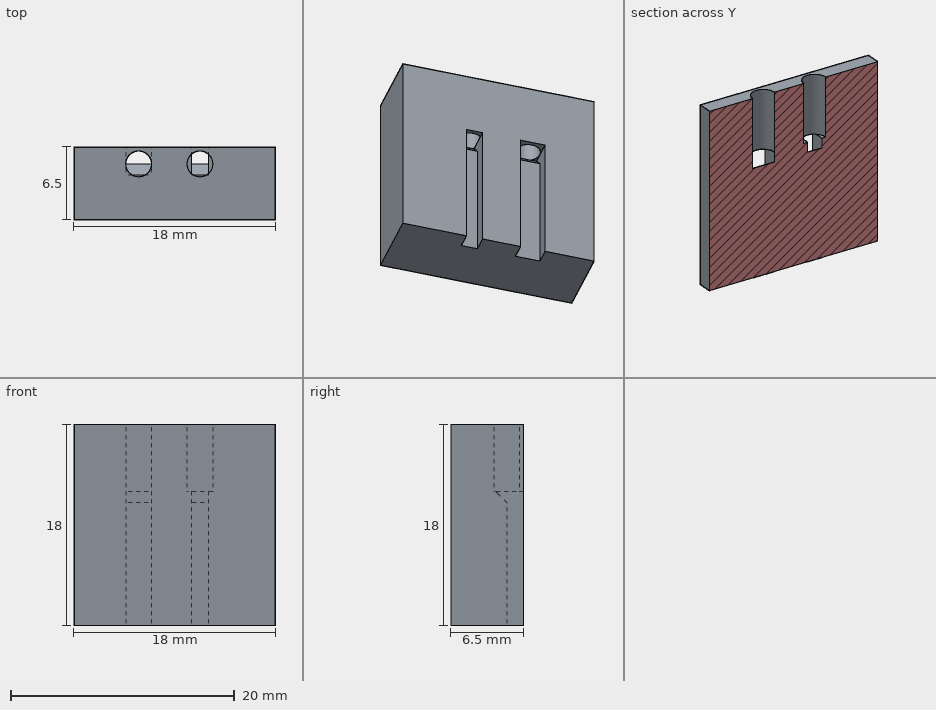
import cadquery as cq

width = 18.0
thickness = 6.5
height = 18.0

hole_diameter = 2.3
hole_radius = hole_diameter / 2
hole_inset = 1.5
hole_depth = 6.0
first_hole_x = 5.767
second_hole_x = 11.25

groove_depth = hole_inset
ramp_run = 1.0
ramp_drop = ramp_run
wide_groove_width = hole_diameter
narrow_groove_width = 1.5

back_y = thickness
hole_y = back_y - hole_inset
hole_floor_z = height - hole_depth


def make_block():
    return cq.Workplane("XY").box(width, thickness, height, centered=False)


def make_entry_hole(x):
    return (
        cq.Workplane("XY", origin=(x, hole_y, hole_floor_z))
        .circle(hole_radius)
        .extrude(hole_depth)
    )


def make_groove(x, groove_width):
    """Groove with a ramped upper end, centred on the hole at x."""
    groove_front_y = back_y - groove_depth
    return (
        cq.Workplane("YZ", origin=(x, 0, 0))
        .moveTo(back_y, 0)
        .lineTo(back_y, hole_floor_z)
        .lineTo(groove_front_y - ramp_run, hole_floor_z)
        .lineTo(groove_front_y, hole_floor_z - ramp_drop)
        .lineTo(groove_front_y, 0)
        .close()
        .extrude(groove_width / 2, both=True)
    )


result = make_block()
for hole_x, groove_width in (
    (first_hole_x, wide_groove_width),
    (second_hole_x, narrow_groove_width),
):
    result = result.cut(make_entry_hole(hole_x))
    result = result.cut(make_groove(hole_x, groove_width))